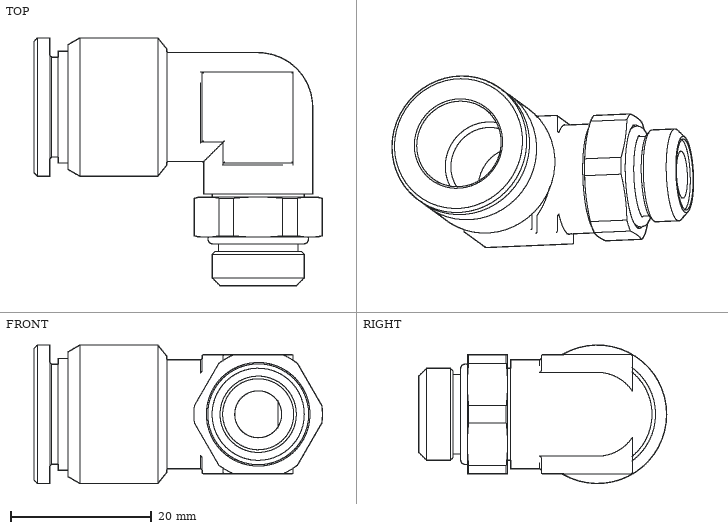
import cadquery as cq
import math


ELBOW_R = 7.8
TUBE_END_X = -32.0
LEG_END_Y = -12.4

PAD_HALF_HEIGHT = 8.5
PAD_OUTER = 5.0
PAD_INNER = 8.0
PAD_NOTCH = 5.0
PAD_EDGE_R = 0.2
PAD_ROOT_R = 0.25

SLEEVE_R = 9.9
COLLAR_R = 8.0
COLLAR_START = 3.45
SLEEVE_START = 4.82
SLEEVE_START_R = 8.9
SLEEVE_FULL_START = 6.55
SLEEVE_FULL_END = 17.67
SLEEVE_CONE_END = 18.97
SLEEVE_END_R = 8.3
SLEEVE_ROOT_R = 0.15

FLANGE_R = SLEEVE_R
FLANGE_LENGTH = 2.25
FLANGE_CHAMFER = 0.5
RING_NECK_R = 7.15
RING_NECK_CHAMFER = 0.28

TUBE_R = 6.2
TUBE_LEAD_IN = 0.28
TUBE_STOP = SLEEVE_FULL_END
BORE_R = 5.48
BORE_END_X = 2.8
DRILL_HALF_ANGLE = math.radians(59)

PORT_BORE_R = 3.35
RELIEF_R = 6.58
HEX_TOP_Y = -12.83
HEX_LENGTH = 5.72
HEX_ACROSS_FLATS = 17.0
HEX_CORNER_R = 9.19
HEX_FACE_R = HEX_ACROSS_FLATS / 2
HEX_CHAMFER_ANGLE = math.radians(15)
STUD_NECK_R = 5.7
THREAD_R = RELIEF_R
THREAD_START_Y = -20.6
THREAD_START_CHAMFER = 0.4
STUD_END_Y = -25.5
STUD_END_CHAMFER = 1.13
END_RECESS_R = 5.07
END_RECESS_DEPTH = 0.4

SEAL_OUTER_R = 7.2
SEAL_SECTION_R = (SEAL_OUTER_R - STUD_NECK_R) / 2
SEAL_RING_R = SEAL_OUTER_R - SEAL_SECTION_R
SEAL_GROOVE_R = 7.4
SEAL_GROOVE_DEPTH = 0.5
SEAL_Y = HEX_TOP_Y - HEX_LENGTH + SEAL_GROOVE_DEPTH - SEAL_SECTION_R


def tube_turning(points):
    """Solid turned about the X axis from (distance from the open face, radius) points."""
    profile = [(TUBE_END_X + x, radius) for x, radius in points]
    return cq.Workplane("XY").polyline(profile).close().revolve(360, (0, 0, 0), (1, 0, 0))


def port_turning(points):
    """Solid turned about the Y axis from (radius, y) points."""
    return cq.Workplane("XY").polyline(points).close().revolve(360, (0, 0, 0), (0, 1, 0))


def make_elbow():
    """Two equal round arms joined by a ball at the outer corner, with the flat pads."""
    tube_arm = cq.Workplane("YZ").circle(ELBOW_R).extrude(TUBE_END_X + SLEEVE_FULL_END)
    port_arm = cq.Workplane("XZ").circle(ELBOW_R).extrude(-LEG_END_Y)
    elbow = tube_arm.union(port_arm).union(cq.Workplane("XY").sphere(ELBOW_R))
    pads = (
        cq.Workplane("XY")
        .workplane(offset=-PAD_HALF_HEIGHT)
        .polyline([
            (PAD_OUTER, PAD_OUTER),
            (-PAD_INNER, PAD_OUTER),
            (-PAD_INNER, -PAD_NOTCH),
            (-PAD_NOTCH, -PAD_NOTCH),
            (-PAD_NOTCH, -PAD_INNER),
            (PAD_OUTER, -PAD_INNER),
        ])
        .close()
        .extrude(2 * PAD_HALF_HEIGHT)
        .faces("<Z or >Z")
        .edges()
        .fillet(PAD_EDGE_R)
    )
    elbow = elbow.union(pads)
    notch_mid = -(PAD_INNER + PAD_NOTCH) / 2
    notch_height = math.sqrt(ELBOW_R**2 - PAD_NOTCH**2)
    arc_height = (ELBOW_R + notch_height) / 2
    root_points = [
        (x, y, side * height)
        for side in (1, -1)
        for x, y, height in (
            (-PAD_INNER, 0, arc_height),
            (0, -PAD_INNER, arc_height),
            (notch_mid, -PAD_NOTCH, notch_height),
            (-PAD_NOTCH, notch_mid, notch_height),
        )
    ]
    roots = [elbow.edges(cq.selectors.NearestToPointSelector(point)).val() for point in root_points]
    return elbow.newObject(roots).fillet(PAD_ROOT_R)


def make_sleeve():
    """Flanged release ring, collar and sleeve, with a small root fillet onto the elbow."""
    root_x = SLEEVE_CONE_END + SLEEVE_ROOT_R
    arc_offset = SLEEVE_ROOT_R * (1 - math.sqrt(0.5))
    return (
        cq.Workplane("XY", origin=(TUBE_END_X, 0, 0))
        .lineTo(0, FLANGE_R - FLANGE_CHAMFER)
        .lineTo(FLANGE_CHAMFER, FLANGE_R)
        .lineTo(FLANGE_LENGTH, FLANGE_R)
        .lineTo(FLANGE_LENGTH, RING_NECK_R + RING_NECK_CHAMFER)
        .lineTo(FLANGE_LENGTH + RING_NECK_CHAMFER, RING_NECK_R)
        .lineTo(COLLAR_START, RING_NECK_R)
        .lineTo(COLLAR_START, COLLAR_R)
        .lineTo(SLEEVE_START, COLLAR_R)
        .lineTo(SLEEVE_START, SLEEVE_START_R)
        .lineTo(SLEEVE_FULL_START, SLEEVE_R)
        .lineTo(SLEEVE_FULL_END, SLEEVE_R)
        .lineTo(SLEEVE_CONE_END, SLEEVE_END_R)
        .lineTo(SLEEVE_CONE_END, ELBOW_R + SLEEVE_ROOT_R)
        .threePointArc((SLEEVE_CONE_END + arc_offset, ELBOW_R + arc_offset), (root_x, ELBOW_R))
        .lineTo(root_x, 0)
        .close()
        .revolve(360, (0, 0, 0), (1, 0, 0))
    )


def make_hex():
    """Hexagon with its corners turned down and both ends chamfered, flats facing +Z and -Z."""
    prism = (
        cq.Workplane("XZ", origin=(0, HEX_TOP_Y, 0))
        .polygon(6, HEX_ACROSS_FLATS / math.cos(math.pi / 6))
        .extrude(HEX_LENGTH)
    )
    bottom = HEX_TOP_Y - HEX_LENGTH
    drop = (HEX_CORNER_R - HEX_FACE_R) * math.tan(HEX_CHAMFER_ANGLE)
    turned = port_turning([
        (0, HEX_TOP_Y),
        (HEX_FACE_R, HEX_TOP_Y),
        (HEX_CORNER_R, HEX_TOP_Y - drop),
        (HEX_CORNER_R, bottom + drop),
        (HEX_FACE_R, bottom),
        (0, bottom),
    ])
    return prism.intersect(turned)


def make_stud():
    """Relief, hexagon with a seal groove in its face, undercut neck and plain thread barrel."""
    hex_bottom = HEX_TOP_Y - HEX_LENGTH
    relief = cq.Workplane("XZ", origin=(0, LEG_END_Y, 0)).circle(RELIEF_R).extrude(LEG_END_Y - HEX_TOP_Y)
    seal_groove = (
        cq.Workplane("XZ", origin=(0, hex_bottom, 0)).circle(SEAL_GROOVE_R).extrude(-SEAL_GROOVE_DEPTH)
    )
    barrel = port_turning([
        (0, HEX_TOP_Y),
        (STUD_NECK_R, HEX_TOP_Y),
        (STUD_NECK_R, THREAD_START_Y),
        (THREAD_R - THREAD_START_CHAMFER, THREAD_START_Y),
        (THREAD_R, THREAD_START_Y - THREAD_START_CHAMFER),
        (THREAD_R, STUD_END_Y + STUD_END_CHAMFER),
        (THREAD_R - STUD_END_CHAMFER, STUD_END_Y),
        (END_RECESS_R, STUD_END_Y),
        (END_RECESS_R, STUD_END_Y + END_RECESS_DEPTH),
        (0, STUD_END_Y + END_RECESS_DEPTH),
    ])
    return make_hex().cut(seal_groove).union(relief).union(barrel)


def make_body():
    """Elbow, sleeve and stud in one piece, bored from both ends."""
    bore_end = BORE_END_X - TUBE_END_X
    drill_point = bore_end + BORE_R / math.tan(DRILL_HALF_ANGLE)
    tube_bore = tube_turning([
        (0, 0),
        (0, TUBE_R + TUBE_LEAD_IN),
        (TUBE_LEAD_IN, TUBE_R),
        (TUBE_STOP, TUBE_R),
        (TUBE_STOP + (TUBE_R - BORE_R) / math.tan(DRILL_HALF_ANGLE), BORE_R),
        (bore_end, BORE_R),
        (drill_point, 0),
    ])
    port_bore = cq.Workplane("XZ").circle(PORT_BORE_R).extrude(-STUD_END_Y)
    return make_elbow().union(make_sleeve()).union(make_stud()).cut(tube_bore).cut(port_bore)


def make_seal():
    """Round-section ring around the port axis."""
    return (
        cq.Workplane("XY", origin=(SEAL_RING_R, SEAL_Y, 0))
        .circle(SEAL_SECTION_R)
        .revolve(360, (-SEAL_RING_R, 0, 0), (-SEAL_RING_R, 1, 0))
    )


body = make_body()
seal = make_seal()

result = cq.Compound.makeCompound([body.val(), seal.val()])